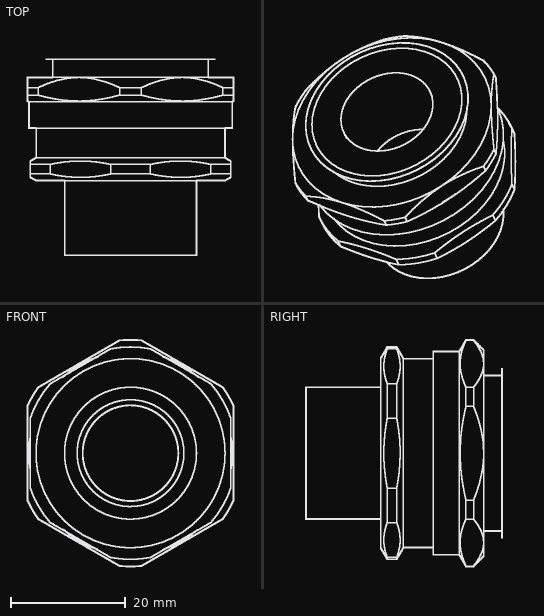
import cadquery as cq
import math

total_length = 34.23
tube_length = 13.0
tube_diameter = 23.03
tube_bore_diameter = 18.65
through_bore_diameter = 16.65

small_hex_flats = 34.98
small_hex_corners = 37.05
small_hex_length = 4.0

neck_diameter = 33.0
neck_end = 22.2
collar_diameter = 35.5
collar_end = 26.75

large_hex_flats = 36.0
large_hex_corners = 39.57
large_hex_end = 31.02

rear_diameter = 27.2
lip_diameter = 29.45
lip_thickness = 0.05

chamfer_angle = 30.0
rear_chamfer_angle = 45.0

small_hex_end = tube_length + small_hex_length
tube_bore_depth = small_hex_end


def cylinder(diameter, start, end):
    """Solid cylinder on the Y axis between two axial positions."""
    plane = cq.Plane(origin=(0, start, 0), xDir=(1, 0, 0), normal=(0, 1, 0))
    return cq.Workplane(plane).circle(diameter / 2).extrude(end - start)


def hexagon(flats, corners, start, end, front_face, rear_face, rear_angle):
    """Hexagon with rounded corners, flats facing +/-X and conical chamfers at both ends."""
    plane = cq.Plane(origin=(0, start, 0), xDir=(0, 0, 1), normal=(0, 1, 0))
    sharp_corners = flats / math.cos(math.radians(30))
    prism = cq.Workplane(plane).polygon(6, sharp_corners).extrude(end - start)

    front_depth = (corners - front_face) / 2 * math.tan(math.radians(chamfer_angle))
    rear_depth = (corners - rear_face) / 2 * math.tan(math.radians(rear_angle))
    envelope = (
        cq.Workplane("XY")
        .moveTo(0, start)
        .lineTo(front_face / 2, start)
        .lineTo(corners / 2, start + front_depth)
        .lineTo(corners / 2, end - rear_depth)
        .lineTo(rear_face / 2, end)
        .lineTo(0, end)
        .close()
        .revolve(360, (0, 0, 0), (0, 1, 0))
    )
    return prism.intersect(envelope)


small_hex = hexagon(
    small_hex_flats, small_hex_corners, tube_length, small_hex_end,
    neck_diameter, neck_diameter, chamfer_angle,
)
large_hex = hexagon(
    large_hex_flats, large_hex_corners, collar_end, large_hex_end,
    collar_diameter, large_hex_flats, rear_chamfer_angle,
)
body = (
    cylinder(tube_diameter, 0, tube_length)
    .union(small_hex)
    .union(cylinder(neck_diameter, small_hex_end, neck_end))
    .union(cylinder(collar_diameter, neck_end, collar_end))
    .union(large_hex)
    .union(cylinder(rear_diameter, large_hex_end, total_length))
    .union(cylinder(lip_diameter, total_length - lip_thickness, total_length))
)

result = (
    body
    .cut(cylinder(through_bore_diameter, 0, total_length))
    .cut(cylinder(tube_bore_diameter, 0, tube_bore_depth))
)